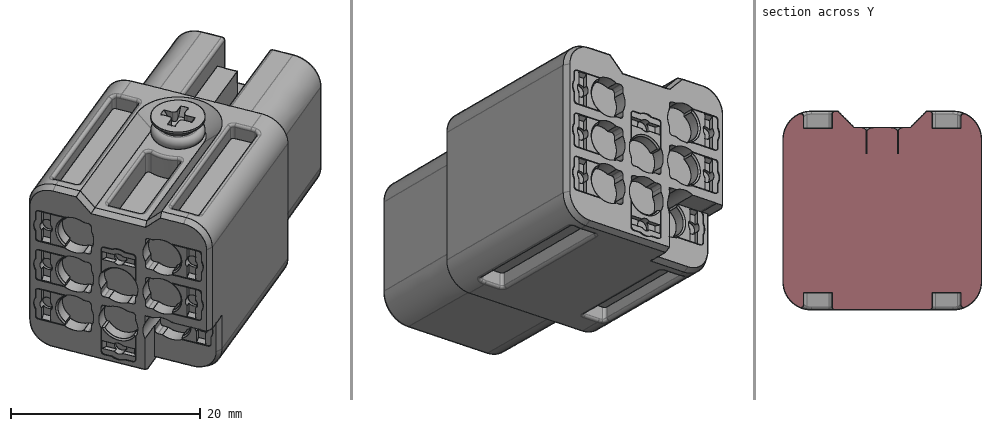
import cadquery as cq
import math


HOUSING_SIZE = 21.0
HOUSING_LENGTH = 21.0
HOUSING_CORNER = 3.0
FRONT_CHAMFER_WIDTH = 0.36
FRONT_CHAMFER_LENGTH = 0.7
HALF_SIZE = HOUSING_SIZE / 2

GROOVE_DEPTH = 1.7
GROOVE_FLOOR_HALF = 2.98
GROOVE_TOP_HALF = GROOVE_FLOOR_HALF + GROOVE_DEPTH
GROOVE_FLOOR_Z = HALF_SIZE - GROOVE_DEPTH

SCREW_Y = 16.0
SCREW_TOP_Z = 11.4
HEAD_RADIUS = 2.88
HEAD_RIM_HEIGHT = 0.25
NECK_RADIUS = 1.95
WASHER_EDGE_RADIUS = 0.7
WASHER_FLAT_RADIUS = HEAD_RADIUS - WASHER_EDGE_RADIUS
SCREW_EMBED = 0.3
DRIVE_RADIUS = 1.82
DRIVE_FLOOR_RADIUS = 1.25
DRIVE_ARM_WIDTH = 0.86
DRIVE_DEPTH = 1.0
DRIVE_TIP_DEPTH = 1.6
DRIVE_CORNER = 0.4

POCKET_FRONT_Y = 1.8
POCKET_RIM_RADIUS = 0.32
POCKET_CORNER = 0.35
SIDE_POCKET_X = 6.8
SIDE_POCKET_WIDTH = 3.0
SIDE_POCKET_END_Y = 18.07
SIDE_POCKET_DEPTH = 1.8
CENTRE_POCKET_WIDTH = 4.0
CENTRE_POCKET_DEPTH = 2.75
CENTRE_POCKET_ARC_RADIUS = 4.0

PITCH = 5.08
CELL_HALF = 1.97
CELL_CORNER = 0.35
CELL_TAIL = 4.45
HOLE_RADIUS = 2.25
HOLE_DEPTH = 1.5
LIP_RADIUS = 1.99
LIP_CHAMFER = 0.18
SHALLOW_DEPTH = 0.1
SLOT_OFFSET = 3.27
SLOT_WIDTH = 1.0
SLOT_DEPTH = 0.6
SLOT_END_RUN = 0.36
SLOT_HOLE_RADIUS = 0.7
SLOT_HOLE_DEPTH = 0.9
TAIL_BULGE_RADIUS = 1.38

STEP_X = 3.07
STEP_Z = -3.14
STEP_DEPTH = 2.57

PLUG_LENGTH = 13.8
PLUG_BASE_HALF = 8.55
PLUG_END_HALF = 8.47
PLUG_CORNER = 3.3
PLUG_END_FILLET = 0.25
PLUG_SLOT_HALF = 2.58
PLUG_SLOT_FLOOR_Z = 3.0
PLUG_SLOT_TOP_FILLET = 0.37
PLUG_SLOT_FLOOR_FILLET = 0.33
KEY_END_X = -0.28
KEY_TOP_Z = 6.1
KEY_LENGTH = 11.6


def plane_at(y):
    """Workplane parallel to XZ at the given Y; positive extrusions go towards -Y."""
    return cq.Workplane("XZ", origin=(0, y, 0))


def make_housing():
    """Rounded square block with the screw groove, chamfered round its front face."""
    block = (
        plane_at(0)
        .rect(HOUSING_SIZE, HOUSING_SIZE)
        .extrude(-HOUSING_LENGTH)
        .edges("|Y")
        .fillet(HOUSING_CORNER)
    )
    groove = (
        plane_at(0)
        .moveTo(-GROOVE_FLOOR_HALF, GROOVE_FLOOR_Z)
        .lineTo(GROOVE_FLOOR_HALF, GROOVE_FLOOR_Z)
        .lineTo(GROOVE_TOP_HALF, HALF_SIZE)
        .lineTo(-GROOVE_TOP_HALF, HALF_SIZE)
        .close()
        .extrude(-SCREW_Y)
    )
    groove_end = cq.Workplane(
        cq.Solid.makeCone(
            GROOVE_FLOOR_HALF,
            GROOVE_TOP_HALF,
            GROOVE_DEPTH,
            cq.Vector(0, SCREW_Y, GROOVE_FLOOR_Z),
        )
    )
    block = block.cut(groove).cut(groove_end)
    return block.faces("<Y").chamfer(FRONT_CHAMFER_WIDTH, FRONT_CHAMFER_LENGTH)


def round_rim(body, x, width, start_y, end_y, z):
    """Round the upper edges of a pocket whose mouth lies near height z."""
    margin = 0.2
    mouth = cq.selectors.BoxSelector(
        (x - width / 2 - margin, start_y - margin, z - POCKET_RIM_RADIUS),
        (x + width / 2 + margin, end_y + margin, z + POCKET_RIM_RADIUS),
    )
    return body.edges(mouth).fillet(POCKET_RIM_RADIUS)


def cut_side_pocket(body, x, side, start_y):
    """Cut a long pocket into the top (side = 1) or bottom (side = -1) face."""
    length = SIDE_POCKET_END_Y - start_y
    face_z = side * HALF_SIZE
    pocket = (
        cq.Workplane("XY", origin=(x, start_y + length / 2, face_z))
        .rect(SIDE_POCKET_WIDTH, length)
        .extrude(SIDE_POCKET_DEPTH, both=True)
        .edges("|Z")
        .fillet(POCKET_CORNER)
    )
    return round_rim(body.cut(pocket), x, SIDE_POCKET_WIDTH, start_y, SIDE_POCKET_END_Y, face_z)


def cut_centre_pocket(body):
    """Cut the pocket in the groove floor; its inner end curves around the screw."""
    half = CENTRE_POCKET_WIDTH / 2
    corner_y = SCREW_Y - math.sqrt(CENTRE_POCKET_ARC_RADIUS**2 - half**2)
    pocket = (
        cq.Workplane("XY", origin=(0, 0, GROOVE_FLOOR_Z - CENTRE_POCKET_DEPTH))
        .moveTo(-half, POCKET_FRONT_Y)
        .lineTo(half, POCKET_FRONT_Y)
        .lineTo(half, corner_y)
        .threePointArc((0, SCREW_Y - CENTRE_POCKET_ARC_RADIUS), (-half, corner_y))
        .close()
        .extrude(CENTRE_POCKET_DEPTH)
        .edges("|Z")
        .fillet(POCKET_CORNER)
    )
    return round_rim(body.cut(pocket), 0, CENTRE_POCKET_WIDTH, POCKET_FRONT_Y, corner_y, GROOVE_FLOOR_Z)


def make_cell(face_y):
    """Cutter for one contact cell, its tail pointing to -X, below a face at face_y.

    The round hole and the shallow tail are cut from Y = 0; the slot starts at the face.
    """
    hole_floor = face_y + HOLE_DEPTH
    shallow_floor = face_y + SHALLOW_DEPTH
    outline = (
        plane_at(0)
        .center((CELL_HALF - CELL_TAIL) / 2, 0)
        .rect(CELL_HALF + CELL_TAIL, 2 * CELL_HALF)
        .extrude(-hole_floor)
        .edges("|Y")
        .fillet(CELL_CORNER)
    )
    bulge_start_x = -math.sqrt(HOLE_RADIUS**2 - CELL_HALF**2)
    clear_side = (
        plane_at(0)
        .center(bulge_start_x + HOLE_RADIUS, 0)
        .rect(2 * HOLE_RADIUS, 2 * HOLE_RADIUS)
        .extrude(-hole_floor)
    )
    wide_hole = plane_at(0).circle(HOLE_RADIUS).extrude(-hole_floor)
    lip_hole = plane_at(0).circle(LIP_RADIUS).extrude(-hole_floor)
    lip_chamfer = cq.Workplane(
        cq.Solid.makeCone(
            LIP_RADIUS + LIP_CHAMFER,
            LIP_RADIUS,
            LIP_CHAMFER,
            cq.Vector(0, shallow_floor, 0),
            cq.Vector(0, 1, 0),
        )
    )
    tail_bulge = (
        plane_at(0).center(-SLOT_OFFSET, 0).circle(TAIL_BULGE_RADIUS).extrude(-shallow_floor)
    )
    shallow = plane_at(0).rect(HOUSING_SIZE, HOUSING_SIZE).extrude(-shallow_floor)
    slot = (
        cq.Workplane("YZ", origin=(-SLOT_OFFSET, 0, 0))
        .moveTo(face_y, -CELL_HALF)
        .lineTo(face_y, CELL_HALF)
        .lineTo(face_y + SLOT_DEPTH, CELL_HALF - SLOT_END_RUN)
        .lineTo(face_y + SLOT_DEPTH, SLOT_END_RUN - CELL_HALF)
        .close()
        .extrude(SLOT_WIDTH / 2, both=True)
    )
    slot_hole = (
        plane_at(face_y)
        .center(-SLOT_OFFSET, 0)
        .circle(SLOT_HOLE_RADIUS)
        .extrude(-SLOT_HOLE_DEPTH)
    )
    cell = outline.intersect(clear_side.union(shallow))
    for piece in (wide_hole.intersect(clear_side), lip_hole, lip_chamfer, tail_bulge, slot, slot_hole):
        cell = cell.union(piece)
    return cell


def cut_cells(body):
    """Cut the eight contact cells, each tail pointing to the nearest free side."""
    cells = [(-1, row, 0) for row in (-1, 0, 1)]
    cells += [(1, row, 180) for row in (-1, 0, 1)]
    cells += [(0, 0, 90), (0, -1, 270)]
    for column, row, turn in cells:
        on_step = column == 1 and row == -1
        cell = make_cell(STEP_DEPTH if on_step else 0)
        cell = cell.rotate((0, 0, 0), (0, 1, 0), turn)
        body = body.cut(cell.translate((column * PITCH, 0, row * PITCH)))
    return body


def cut_step(housing):
    """Set the lower +X corner back, leaving the same chamfer round its outer edges."""
    corner = cq.Workplane("XY").box(
        HOUSING_SIZE, STEP_DEPTH + FRONT_CHAMFER_LENGTH, HOUSING_SIZE, centered=False
    )
    corner = corner.translate((STEP_X, 0, STEP_Z - HOUSING_SIZE))
    set_back_housing = housing.translate((0, STEP_DEPTH, 0))
    return housing.cut(corner.cut(set_back_housing))


def make_plug():
    """Tapered block with an open slot along its top and a key inside the slot."""
    taper = math.degrees(math.atan((PLUG_BASE_HALF - PLUG_END_HALF) / PLUG_LENGTH))
    plug = (
        plane_at(HOUSING_LENGTH)
        .sketch()
        .rect(2 * PLUG_BASE_HALF, 2 * PLUG_BASE_HALF)
        .vertices()
        .fillet(PLUG_CORNER)
        .finalize()
        .extrude(-PLUG_LENGTH, taper=taper)
    )
    slot_height = PLUG_BASE_HALF - PLUG_SLOT_FLOOR_Z
    slot = (
        plane_at(HOUSING_LENGTH)
        .center(0, PLUG_SLOT_FLOOR_Z + slot_height / 2)
        .rect(2 * PLUG_SLOT_HALF, slot_height)
        .extrude(-PLUG_LENGTH)
        .edges("|Y and <Z")
        .fillet(PLUG_SLOT_FLOOR_FILLET)
    )
    plug = plug.cut(slot)
    slot_mouth = cq.selectors.BoxSelector(
        (-PLUG_SLOT_HALF - PLUG_SLOT_TOP_FILLET, HOUSING_LENGTH + 1, PLUG_END_HALF - 1),
        (PLUG_SLOT_HALF + PLUG_SLOT_TOP_FILLET, HOUSING_LENGTH + PLUG_LENGTH - 1, PLUG_BASE_HALF + 1),
    )
    plug = plug.edges(slot_mouth).fillet(PLUG_SLOT_TOP_FILLET)
    plug = plug.faces(">Y").edges().fillet(PLUG_END_FILLET)
    key_base_z = PLUG_SLOT_FLOOR_Z - PLUG_SLOT_FLOOR_FILLET
    key = cq.Workplane("XY").box(
        KEY_END_X + PLUG_SLOT_HALF + PLUG_SLOT_FLOOR_FILLET,
        KEY_LENGTH,
        KEY_TOP_Z - key_base_z,
        centered=False,
    )
    key = key.translate((-PLUG_SLOT_HALF - PLUG_SLOT_FLOOR_FILLET, HOUSING_LENGTH, key_base_z))
    return plug.union(key)


def make_drive():
    """Cutter for the cross recess: a cross trimmed by a cone with a pointed bottom."""
    arms = cq.Workplane("XY", origin=(0, 0, SCREW_TOP_Z - DRIVE_TIP_DEPTH))
    along_x = arms.rect(2 * DRIVE_RADIUS, DRIVE_ARM_WIDTH).extrude(DRIVE_TIP_DEPTH)
    along_y = arms.rect(DRIVE_ARM_WIDTH, 2 * DRIVE_RADIUS).extrude(DRIVE_TIP_DEPTH)
    inner_corners = cq.selectors.BoxSelector(
        (-DRIVE_ARM_WIDTH, -DRIVE_ARM_WIDTH, 0), (DRIVE_ARM_WIDTH, DRIVE_ARM_WIDTH, SCREW_TOP_Z)
    )
    cross = along_x.union(along_y).edges("|Z").edges(inner_corners).fillet(DRIVE_CORNER)
    cone = (
        cq.Workplane("XZ")
        .moveTo(0, SCREW_TOP_Z)
        .lineTo(DRIVE_RADIUS, SCREW_TOP_Z)
        .lineTo(DRIVE_FLOOR_RADIUS, SCREW_TOP_Z - DRIVE_DEPTH)
        .lineTo(0, SCREW_TOP_Z - DRIVE_TIP_DEPTH)
        .close()
        .revolve(360, (0, 0, 0), (0, 1, 0))
    )
    return cross.intersect(cone)


def make_screw():
    """Screw with a conical head above a captive washer with a half-round edge."""
    buried_z = GROOVE_FLOOR_Z - SCREW_EMBED
    washer_top_z = GROOVE_FLOOR_Z + 2 * WASHER_EDGE_RADIUS
    screw = (
        cq.Workplane("XZ")
        .moveTo(0, buried_z)
        .lineTo(WASHER_FLAT_RADIUS, buried_z)
        .lineTo(WASHER_FLAT_RADIUS, GROOVE_FLOOR_Z)
        .threePointArc(
            (HEAD_RADIUS, GROOVE_FLOOR_Z + WASHER_EDGE_RADIUS), (WASHER_FLAT_RADIUS, washer_top_z)
        )
        .lineTo(NECK_RADIUS, washer_top_z)
        .lineTo(HEAD_RADIUS, SCREW_TOP_Z - HEAD_RIM_HEIGHT)
        .lineTo(HEAD_RADIUS, SCREW_TOP_Z)
        .lineTo(0, SCREW_TOP_Z)
        .close()
        .revolve(360, (0, 0, 0), (0, 1, 0))
    )
    return screw.cut(make_drive()).translate((0, SCREW_Y, 0))


body = cut_step(make_housing())
for pocket_x in (-SIDE_POCKET_X, SIDE_POCKET_X):
    body = cut_side_pocket(body, pocket_x, 1, POCKET_FRONT_Y)
body = cut_side_pocket(body, -SIDE_POCKET_X, -1, POCKET_FRONT_Y)
body = cut_side_pocket(body, SIDE_POCKET_X, -1, STEP_DEPTH + POCKET_FRONT_Y)
body = cut_centre_pocket(body)
body = cut_cells(body)
result = body.union(make_plug()).union(make_screw())